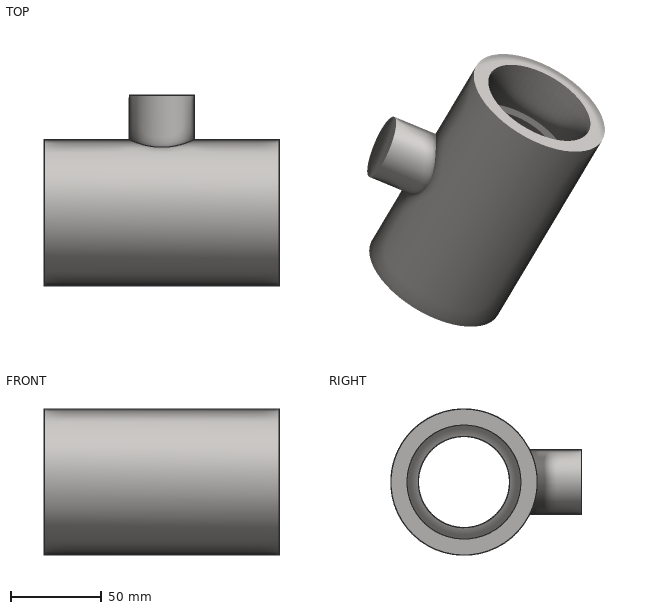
import cadquery as cq

body_length = 130.0
body_diameter = 81.0
bore_diameter = 50.3

socket_diameter = 63.0
socket_depth = 29.0

overall_width = 105.5
branch_diameter = 36.0
branch_reach = overall_width - body_diameter / 2

body_start = -body_length / 2


def cylinder_along_x(diameter, length, start_x):
    return cq.Workplane("YZ").workplane(offset=start_x).circle(diameter / 2).extrude(length)


def cylinder_along_y(diameter, length):
    return cq.Workplane("XZ").circle(diameter / 2).extrude(-length)


body = cylinder_along_x(body_diameter, body_length, body_start)
branch = cylinder_along_y(branch_diameter, branch_reach)
tee = body.union(branch)

tee = tee.cut(cylinder_along_x(bore_diameter, body_length, body_start))

for socket_start in (body_start, body_length / 2 - socket_depth):
    tee = tee.cut(cylinder_along_x(socket_diameter, socket_depth, socket_start))

result = tee